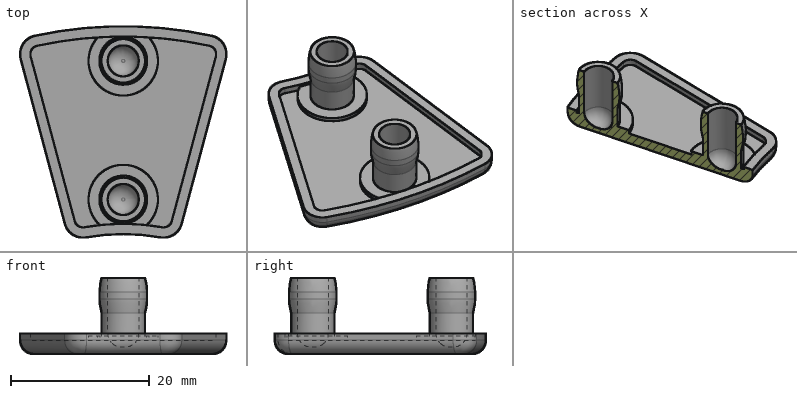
import cadquery as cq
import math

INNER_RADIUS = 30.0
OUTER_RADIUS = 60.0
HALF_ANGLE = math.radians(15)
CORNER_RADIUS = 2.75
PLATE_HEIGHT = 3.0
BOTTOM_FILLET = 2.0

RIM_WIDTH = 1.5
POCKET_DEPTH = 1.0

PAD_DIAMETER = 10.0
PAD_HEIGHT = 0.6

PEG_INSET = 5.0
PEG_DIAMETER = 6.3
BARB_DIAMETER = 6.9
TOTAL_HEIGHT = 11.0
BARB_CURVE_HEIGHT = 2.0
BARB_BAND_HEIGHT = 1.0
BORE_DIAMETER = 4.5
BORE_FLOOR_FILLET = 2.0
BORE_FLOOR_HEIGHT = 1.0

POCKET_FLOOR = PLATE_HEIGHT - POCKET_DEPTH
PEG_POSITIONS = (INNER_RADIUS + PEG_INSET, OUTER_RADIUS - PEG_INSET)


def rounded_sector(inset, base, height):
    """Ring sector with rounded corners, every side moved inward by inset."""
    inner = INNER_RADIUS + inset
    outer = OUTER_RADIUS - inset

    def corner(radius):
        angle = HALF_ANGLE - math.asin(inset / radius)
        return radius * math.sin(angle), radius * math.cos(angle)

    inner_x, inner_y = corner(inner)
    outer_x, outer_y = corner(outer)
    return (
        cq.Workplane("XY", origin=(0, 0, base))
        .moveTo(-inner_x, inner_y)
        .threePointArc((0, inner), (inner_x, inner_y))
        .lineTo(outer_x, outer_y)
        .threePointArc((0, outer), (-outer_x, outer_y))
        .close()
        .extrude(height)
        .edges("|Z")
        .fillet(CORNER_RADIUS - inset)
    )


def make_pad(y):
    """Round pad, trimmed where it would run past the pocket wall."""
    pad = (
        cq.Workplane("XY", origin=(0, y, POCKET_FLOOR))
        .circle(PAD_DIAMETER / 2)
        .extrude(PAD_HEIGHT)
    )
    return pad.intersect(rounded_sector(RIM_WIDTH, POCKET_FLOOR, PAD_HEIGHT))


def make_peg(y):
    """Solid peg with a barrel-shaped barb at its tip."""
    peg_radius = PEG_DIAMETER / 2
    barb_radius = BARB_DIAMETER / 2
    band_top = TOTAL_HEIGHT - BARB_CURVE_HEIGHT
    band_bottom = band_top - BARB_BAND_HEIGHT
    barb_bottom = band_bottom - BARB_CURVE_HEIGHT
    barb_step = barb_radius - peg_radius
    curve_radius = (BARB_CURVE_HEIGHT**2 + barb_step**2) / (2 * barb_step)
    half_height = BARB_CURVE_HEIGHT / 2
    middle_radius = barb_radius - curve_radius + math.sqrt(curve_radius**2 - half_height**2)
    profile = (
        cq.Workplane("XZ")
        .moveTo(0, POCKET_FLOOR)
        .lineTo(peg_radius, POCKET_FLOOR)
        .lineTo(peg_radius, barb_bottom)
        .threePointArc((middle_radius, band_bottom - half_height), (barb_radius, band_bottom))
        .lineTo(barb_radius, band_top)
        .threePointArc((middle_radius, band_top + half_height), (peg_radius, TOTAL_HEIGHT))
        .lineTo(0, TOTAL_HEIGHT)
        .close()
    )
    return profile.revolve(360, (0, 0, 0), (0, 1, 0)).translate((0, y, 0))


def make_bore(y):
    """Blind bore with a rounded floor that leaves a tiny flat in the middle."""
    return (
        cq.Workplane("XY", origin=(0, y, BORE_FLOOR_HEIGHT))
        .circle(BORE_DIAMETER / 2)
        .extrude(TOTAL_HEIGHT - BORE_FLOOR_HEIGHT)
        .faces("<Z")
        .edges()
        .fillet(BORE_FLOOR_FILLET)
    )


plate = rounded_sector(0, 0, PLATE_HEIGHT).faces("<Z").edges().fillet(BOTTOM_FILLET)
result = plate.cut(rounded_sector(RIM_WIDTH, POCKET_FLOOR, POCKET_DEPTH))
for peg_y in PEG_POSITIONS:
    result = result.union(make_pad(peg_y)).union(make_peg(peg_y))
    result = result.cut(make_bore(peg_y))